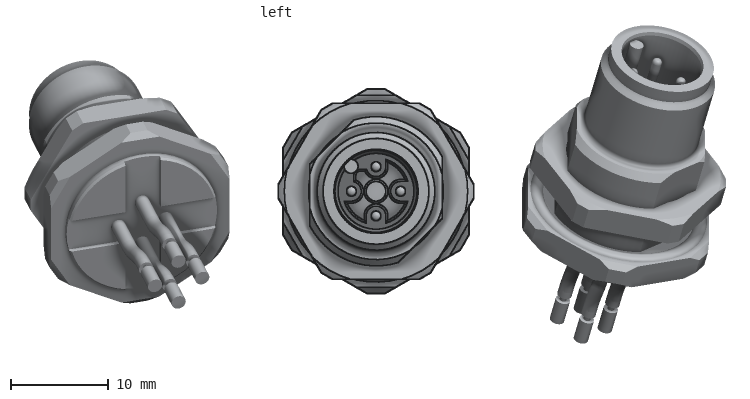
import cadquery as cq
import math


rim_diameter = 10.8
rim_end = 1.35
sleeve_diameter = 12.0
sleeve_start = 1.97
bore_diameter = 8.4
bore_depth = 8.95
bore_mouth_length = 0.35
bore_mouth_depth = 0.1
bore_floor_chamfer = 0.32
shoulder_fillet = 0.45

barrel_start = 9.45
barrel_diameter = 15.25
barrel_chamfer_length = 0.7
barrel_chamfer_depth = 0.65
flat_distance = 6.75
flat_angles = [0, 45, 180, 225]

flange_start = 19.25
flange_thickness = 2.72
flange_across_flats = 19.0
flange_across_corners = 20.9
flange_chamfer_length = 0.55
flange_chamfer_depth = 0.65
ring_diameter = 17.2
ring_section_diameter = 1.58
ring_protrusion = 0.35
collar_diameter = 16.0
collar_end_diameter = 15.6
collar_length = 0.97
collar_slot_width = 3.75
collar_slot_depth = 0.45

contact_offset = 2.5
contact_diameter = 1.0
contact_tip_x = 2.0
contact_tip_fillet = 0.43
key_offset = 2.55
key_diameter = 1.45
key_tip_x = 0.7
land_diameter = 2.0
pocket_diameter = 6.8
pocket_depth = 0.2
pocket_taper = 45
pocket_key_limit = 2.25
pocket_key_corner_radius = 0.6

lead_diameter = 1.5
lead_end = 35.85
bend_start = 26.35
bend_end = 31.75
bend_rise = 1.22
strip_start = 32.55
strip_end = 33.2
conductor_diameter = 0.7

nut_start = 13.55
nut_thickness = 2.72
nut_across_flats = 18.0
nut_across_corners = 20.0
nut_chamfer_length = 0.4
nut_face_diameter = 18.7
nut_bore_diameter = 13.75

flange_end = flange_start + flange_thickness
collar_end = flange_end + collar_length
lead_start = collar_end - collar_slot_depth
contact_positions = [
    (contact_offset, 0),
    (0, contact_offset),
    (-contact_offset, 0),
    (0, -contact_offset),
]


def section(x):
    """Workplane across the axis at x: its local axes are Y and Z."""
    return cq.Workplane("YZ", origin=(x, 0, 0))


def turned(profile):
    """Solid turned about the X axis from a closed half-profile."""
    return profile.close().revolve(360, (0, 0, 0), (1, 0, 0))


def rod(diameter, start, end, y=0, z=0):
    """Round rod parallel to the axis."""
    return section(start).center(y, z).circle(diameter / 2).extrude(end - start)


def hexagon(across_flats, start, length, first_corner):
    """Hexagonal prism with one corner at the given angle from +Y."""
    corner_radius = across_flats / 2 / math.cos(math.pi / 6)
    corners = [
        (corner_radius * math.cos(a), corner_radius * math.sin(a))
        for a in (math.radians(first_corner + 60 * i) for i in range(6))
    ]
    return section(start).polyline(corners).close().extrude(length)


def make_shell():
    """Sleeve and barrel turned about the axis, with the concave fillet between them."""
    rim_radius = rim_diameter / 2
    sleeve_radius = sleeve_diameter / 2
    fillet_corner = shoulder_fillet * (1 - math.sqrt(0.5))
    sleeve = turned(
        cq.Workplane("XY")
        .lineTo(0, rim_radius)
        .lineTo(rim_end, rim_radius)
        .lineTo(sleeve_start, sleeve_radius)
        .lineTo(barrel_start - shoulder_fillet, sleeve_radius)
        .threePointArc(
            (barrel_start - fillet_corner, sleeve_radius + fillet_corner),
            (barrel_start, sleeve_radius + shoulder_fillet),
        )
        .lineTo(barrel_start, 0)
    )
    return sleeve.union(make_barrel())


def make_barrel():
    """Threaded barrel: chamfered at its front and cut by two pairs of flats."""
    barrel_radius = barrel_diameter / 2
    barrel = turned(
        cq.Workplane("XY")
        .moveTo(barrel_start, 0)
        .lineTo(barrel_start, barrel_radius - barrel_chamfer_depth)
        .lineTo(barrel_start + barrel_chamfer_length, barrel_radius)
        .lineTo(flange_start, barrel_radius)
        .lineTo(flange_start, 0)
    )
    barrel_length = flange_start - barrel_start
    for angle in flat_angles:
        waste = (
            section(barrel_start)
            .center(flat_distance + barrel_radius / 2, 0)
            .rect(barrel_radius, 2 * barrel_diameter)
            .extrude(barrel_length)
            .rotate((0, 0, 0), (1, 0, 0), angle)
        )
        barrel = barrel.cut(waste)
    return barrel


def make_flange():
    """Hex flange whose six corners are cut flat and bevelled at both faces."""
    corner_cutter = hexagon(flange_across_corners, flange_start, flange_thickness, 0)
    corner_cutter = corner_cutter.faces("<X or >X").chamfer(flange_chamfer_length, flange_chamfer_depth)
    return hexagon(flange_across_flats, flange_start, flange_thickness, 30).intersect(corner_cutter)


def make_sealing_ring():
    """Round-section ring half sunk in the front face of the flange."""
    section_radius = ring_section_diameter / 2
    return (
        cq.Workplane("XY")
        .center(flange_start - ring_protrusion + section_radius, ring_diameter / 2)
        .circle(section_radius)
        .revolve(360, (0, -ring_diameter / 2, 0), (1, -ring_diameter / 2, 0))
    )


def make_collar():
    """Rear collar with a bevelled edge and two crossed slots in its end."""
    collar = rod(collar_diameter, flange_end, collar_end)
    collar = collar.faces(">X").chamfer((collar_diameter - collar_end_diameter) / 2)
    slot = section(lead_start).rect(collar_slot_width, collar_diameter)
    slot = slot.extrude(collar_slot_depth)
    return collar.cut(slot).cut(slot.rotate((0, 0, 0), (1, 0, 0), 90))


def make_bore():
    """Mating bore: bevelled mouth and a floor that narrows in a short cone."""
    bore_radius = bore_diameter / 2
    return turned(
        cq.Workplane("XY")
        .lineTo(0, bore_radius + bore_mouth_depth)
        .lineTo(bore_mouth_length, bore_radius)
        .lineTo(bore_depth - bore_floor_chamfer, bore_radius)
        .lineTo(bore_depth, bore_radius - bore_floor_chamfer)
        .lineTo(bore_depth, 0)
    )


def make_insert_pocket():
    """Sloped-wall pocket in the bore floor, leaving lands round the centre, contacts and key."""
    pocket = section(bore_depth).circle(pocket_diameter / 2).extrude(pocket_depth, taper=pocket_taper)

    key_land = section(bore_depth).rect(pocket_diameter, pocket_diameter, centered=False)
    key_land = key_land.extrude(pocket_depth)
    key_lobe_outline = (
        cq.Sketch()
        .rect(2 * pocket_key_limit, 2 * pocket_key_limit)
        .vertices()
        .fillet(pocket_key_corner_radius)
    )
    key_lobe = section(bore_depth).placeSketch(key_lobe_outline).extrude(pocket_depth, taper=pocket_taper)
    pocket = pocket.cut(key_land.cut(key_lobe))

    centre_land = section(bore_depth).circle(land_diameter / 2).extrude(pocket_depth, taper=-pocket_taper)
    pocket = pocket.cut(centre_land)
    for i in range(4):
        land = (
            section(bore_depth)
            .center((contact_offset + pocket_diameter) / 2, 0)
            .slot2D(pocket_diameter - contact_offset + land_diameter, land_diameter)
            .extrude(pocket_depth, taper=-pocket_taper)
            .rotate((0, 0, 0), (1, 0, 0), 90 * i)
        )
        pocket = pocket.cut(land)
    return pocket


def make_contact(y, z):
    """Contact pin with a rounded tip."""
    pin = rod(contact_diameter, contact_tip_x, bore_depth, y, z)
    return pin.faces("<X").edges().fillet(contact_tip_fillet)


def make_lead(y, z):
    """Insulated lead with an upward S-bend and a short bared length near its end."""
    raised_z = z + bend_rise
    path = cq.Workplane("XZ", origin=(0, y, 0)).spline(
        [(bend_start, z), (bend_end, raised_z)], tangents=[(1, 0), (1, 0)]
    )
    bend = section(bend_start).center(y, z).circle(lead_diameter / 2).sweep(path)
    return (
        rod(lead_diameter, lead_start, bend_start, y, z)
        .union(bend)
        .union(rod(lead_diameter, bend_end, strip_start, y, raised_z))
        .union(rod(conductor_diameter, strip_start, strip_end, y, raised_z))
        .union(rod(lead_diameter, strip_end, lead_end, y, raised_z))
    )


def make_housing():
    """Complete connector body with key, contacts and leads."""
    housing = make_shell().union(make_flange()).union(make_sealing_ring()).union(make_collar())
    housing = housing.cut(make_bore()).cut(make_insert_pocket())
    housing = housing.union(rod(key_diameter, key_tip_x, bore_depth + pocket_depth, key_offset, key_offset))
    for y, z in contact_positions:
        housing = housing.union(make_contact(y, z)).union(make_lead(y, z))
    return housing


def make_nut():
    """Hex nut on the barrel: flat-cut corners, front chamfer and a hole that fits the barrel."""
    outer_radius = nut_across_corners / 2
    blank = hexagon(nut_across_flats, nut_start, nut_thickness, 0)
    corner_cutter = hexagon(nut_across_corners, nut_start, nut_thickness, 30)
    corner_radius = outer_radius / math.cos(math.pi / 6)
    face_radius = nut_face_diameter / 2
    length_per_radius = nut_chamfer_length / (outer_radius - face_radius)
    chamfer_envelope = turned(
        cq.Workplane("XY")
        .moveTo(nut_start, 0)
        .lineTo(nut_start, face_radius)
        .lineTo(nut_start + length_per_radius * (corner_radius - face_radius), corner_radius)
        .lineTo(nut_start + nut_thickness, corner_radius)
        .lineTo(nut_start + nut_thickness, 0)
    )
    bore = rod(nut_bore_diameter, nut_start, nut_start + nut_thickness)
    return blank.intersect(corner_cutter).intersect(chamfer_envelope).cut(bore).cut(make_barrel())


housing = make_housing()
nut = make_nut()
result = cq.Compound.makeCompound([housing.val(), nut.val()])